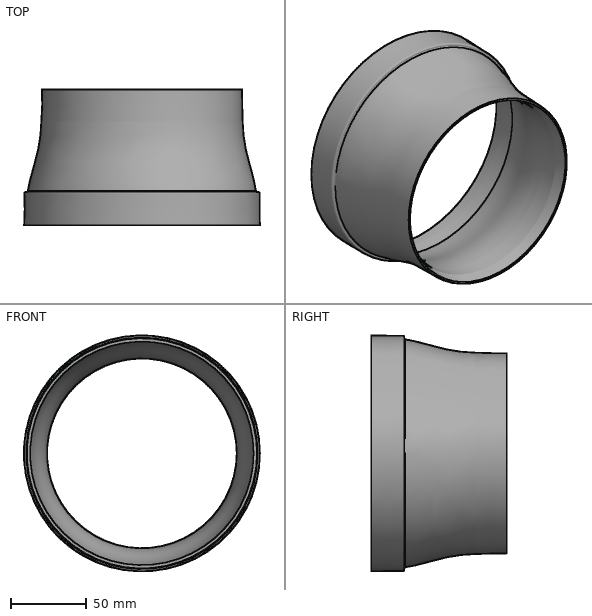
import cadquery as cq

length = 90.0
socket_length = 22.0
step_round = 1.1
step_root = 0.8
outer_bend_y = 41.2
outer_neck_y = 68.7
lead_in_depth = 7.8
shelf_y = 20.8
inner_bend_y = 44.6
inner_neck_y = 70.0
end_taper_y = 82.4

mouth_radius = 78.3
socket_back_radius = 78.1
flare_radius = 75.8
outer_bend_radius = 71.2
outer_neck_radius = 66.9
spigot_radius = 66.4

wall = 3.6
mouth_bore_radius = 76.7
socket_bore_radius = 76.3
shelf_bore_radius = 74.0
inner_bend_radius = outer_bend_radius - wall
bore_radius = spigot_radius - wall
end_bore_radius = 65.0


def outer_solid():
    """Socket, step and bell-shaped reducer, with two tangent arcs joining the ends."""
    return (
        cq.Workplane("XY")
        .lineTo(mouth_radius, 0)
        .lineTo(socket_back_radius, socket_length)
        .lineTo(flare_radius, socket_length)
        .lineTo(0, socket_length)
        .close()
        .revolve(360, (0, 0), (0, 1))
        .union(reducer(
            spigot_radius,
            (outer_neck_radius, outer_neck_y),
            (outer_bend_radius, outer_bend_y),
            (flare_radius, socket_length),
        ))
    )


def reducer(end_radius, neck, bend, flare):
    """Solid of revolution about Y; each point is (radius, y)."""
    return (
        cq.Workplane("XY")
        .moveTo(0, length)
        .lineTo(end_radius, length)
        .lineTo(*neck)
        .tangentArcPoint(bend, relative=False)
        .tangentArcPoint(flare, relative=False)
        .lineTo(0, flare[1])
        .close()
        .revolve(360, (0, 0), (0, 1))
    )


def socket_bore():
    """Socket cavity with a slightly wider lead-in, ending at the stop shelf."""
    return (
        cq.Workplane("XY")
        .lineTo(mouth_bore_radius, 0)
        .lineTo(socket_bore_radius, lead_in_depth)
        .lineTo(socket_bore_radius, shelf_y)
        .lineTo(0, shelf_y)
        .close()
        .revolve(360, (0, 0), (0, 1))
    )


def through_bore():
    """Reducer bore, opened out by a shallow taper at the small end."""
    end_taper = (
        cq.Workplane("XY")
        .moveTo(0, end_taper_y)
        .lineTo(bore_radius, end_taper_y)
        .lineTo(end_bore_radius, length)
        .lineTo(0, length)
        .close()
        .revolve(360, (0, 0), (0, 1))
    )
    return reducer(
        bore_radius,
        (bore_radius, inner_neck_y),
        (inner_bend_radius, inner_bend_y),
        (shelf_bore_radius, shelf_y),
    ).union(end_taper)


back_face = cq.selectors.BoxSelector(
    (-mouth_radius, socket_length - step_root / 2, -mouth_radius),
    (mouth_radius, socket_length + step_root / 2, mouth_radius),
    boundingbox=True,
)
body = outer_solid()
body = body.edges(back_face).edges(cq.selectors.RadiusNthSelector(-1)).fillet(step_round)
body = body.edges(back_face).edges(cq.selectors.RadiusNthSelector(0)).fillet(step_root)

result = body.cut(socket_bore()).cut(through_bore())